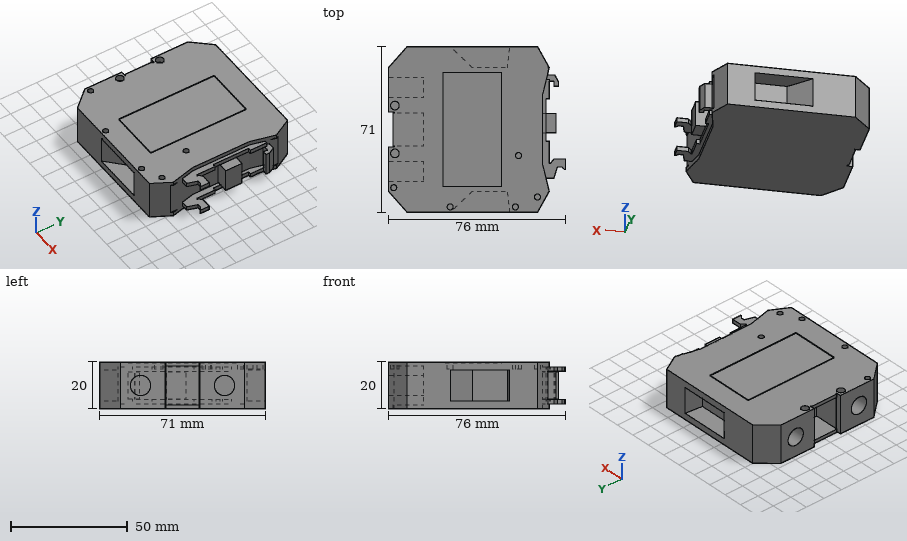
import cadquery as cq

HEIGHT = 20.0
HALF_WIDTH = 35.5
DEPTH = 69.0
CORNER_Y = 26.5
ENTRY_CHAMFER_X = 8.0
RAIL_CHAMFER_X = 64.0
DISH_X = 66.0
DISH_HALF_WIDTH = 14.5

GROOVE_X = 68.4

NOTCH_HALF_WIDTH = 7.45
NOTCH_DEPTH = 1.9
SLIT_WIDTH = 0.35
SLIT_END_X = 2.45
POCKET_END_X = 15.0
POCKET_WALL = 1.7

SCREW_BORE_DIAMETER = 8.7
SCREW_BORE_Y = 18.0
SCREW_BORE_DEPTH = 15.0

WINDOW_HEIGHT = 13.4
WINDOW_DEPTH = 9.0
WINDOW_MOUTH_START = 26.55
WINDOW_MOUTH_END = 52.0
WINDOW_FLOOR_START = 36.0
WINDOW_FLOOR_END = 51.0

LABEL_START_X = 23.5
LABEL_END_X = 48.4
LABEL_LENGTH = 49.0
LABEL_DEPTH = 0.4
BLIND_HOLE_DEPTH = 3.0
LARGE_HOLE_DIAMETER = 3.7
LARGE_HOLES = [(2.8, 10.25), (2.8, -10.25)]
SMALL_HOLE_DIAMETER = 2.6
SMALL_HOLES = [(2.3, -24.95), (26.5, -33.2), (54.45, -33.2), (63.9, -28.95), (55.8, -11.2)]

PLATE_THICKNESS = 2.0
PLATE_MARGIN = 2.0
FOOT_ROOT_X = 64.5
PLATE_FACE_X = 69.0
PLATE_STEP_X = 67.6
PLATE_TOP_Y = 21.5
PLATE_BOTTOM_Y = -20.95
STEP_TOP_Y = 13.1
STEP_BOTTOM_Y = -5.0
SEAT_BOTTOM_Y = -14.45
SEAT_BOTTOM_X = 69.5
FIXED_HOOK_TIP_X = 76.0
FIXED_HOOK_ROOT_X = 71.0
FIXED_HOOK_TOP_Y = -12.6
FIXED_HOOK_UNDERSIDE_Y = -16.1
FIXED_HOOK_UNDERSIDE_START = 72.5
FIXED_HOOK_UNDERSIDE_END = 74.4
FIXED_HOOK_LIP_X = 75.5
FIXED_HOOK_LIP_Y = -17.2
INNER_CLEARANCE = 0.15
SPRING_HOOK_TIP_X = 73.0
SPRING_HOOK_TIP_Y = 18.5
SPRING_HOOK_INNER_X = 71.0
SPRING_HOOK_TOP_Y = 23.35
SPRING_HOOK_UNDERSIDE_Y = 20.6
SPRING_HOOK_BEVEL_X = 71.4
SPRING_HOOK_BEVEL_Y = 20.35
BLOCK_FACE_X = 71.9
BLOCK_TOP_Y = 6.85
BLOCK_BOTTOM_Y = -1.5

INNER_BOTTOM = PLATE_MARGIN + PLATE_THICKNESS + INNER_CLEARANCE
INNER_HEIGHT = HEIGHT - 2 * INNER_BOTTOM
MID_HEIGHT = HEIGHT / 2


def prism(points, bottom, height):
    """Extrude a closed XY outline upward from Z = bottom."""
    return cq.Workplane("XY").workplane(offset=bottom).polyline(points).close().extrude(height)


def box(x_start, x_end, y_start, y_end, bottom, height):
    """Axis-aligned box given by its limits in X and Y and its span in Z."""
    corner = (x_start, y_start, bottom)
    return cq.Workplane("XY").box(x_end - x_start, y_end - y_start, height, centered=False).translate(corner)


def make_housing():
    upper_half = [
        (0, CORNER_Y),
        (ENTRY_CHAMFER_X, HALF_WIDTH),
        (RAIL_CHAMFER_X, HALF_WIDTH),
        (DEPTH, CORNER_Y),
        (DISH_X, DISH_HALF_WIDTH),
    ]
    lower_half = [(x, -y) for x, y in reversed(upper_half)]
    housing = prism(upper_half + lower_half, 0, HEIGHT)
    groove_height = HEIGHT - 2 * PLATE_MARGIN
    groove = box(GROOVE_X, DEPTH, -HALF_WIDTH, HALF_WIDTH, PLATE_MARGIN, groove_height)
    return housing.cut(groove)


def make_entry_notch():
    """Notch through the full height, deepened by corner slits and by the pocket between its walls."""
    notch = box(0, NOTCH_DEPTH, -NOTCH_HALF_WIDTH, NOTCH_HALF_WIDTH, 0, HEIGHT)
    pocket_half_width = NOTCH_HALF_WIDTH - SLIT_WIDTH
    for slit_y in (-NOTCH_HALF_WIDTH, pocket_half_width):
        notch = notch.union(box(0, SLIT_END_X, slit_y, slit_y + SLIT_WIDTH, 0, HEIGHT))
    pocket_height = HEIGHT - 2 * POCKET_WALL
    pocket = box(0, POCKET_END_X, -pocket_half_width, pocket_half_width, POCKET_WALL, pocket_height)
    return notch.union(pocket)


def make_screw_bores():
    return (
        cq.Workplane("YZ")
        .pushPoints([(-SCREW_BORE_Y, MID_HEIGHT), (SCREW_BORE_Y, MID_HEIGHT)])
        .circle(SCREW_BORE_DIAMETER / 2)
        .extrude(SCREW_BORE_DEPTH)
    )


def make_cable_window(side):
    """Tapered cable opening; side is -1 for the -Y wall and +1 for the +Y wall."""
    mouth_y = side * HALF_WIDTH
    floor_y = side * (HALF_WIDTH - WINDOW_DEPTH)
    outline = [
        (WINDOW_MOUTH_START, mouth_y),
        (WINDOW_MOUTH_END, mouth_y),
        (WINDOW_FLOOR_END, floor_y),
        (WINDOW_FLOOR_START, floor_y),
    ]
    return prism(outline, MID_HEIGHT - WINDOW_HEIGHT / 2, WINDOW_HEIGHT)


def make_label_recess():
    half_length = LABEL_LENGTH / 2
    return box(LABEL_START_X, LABEL_END_X, -half_length, half_length, HEIGHT - LABEL_DEPTH, LABEL_DEPTH)


def make_blind_holes(centres, diameter):
    top_plane = cq.Workplane("XY").workplane(offset=HEIGHT)
    return top_plane.pushPoints(centres).circle(diameter / 2).extrude(-BLIND_HOLE_DEPTH)


def make_foot_plate(bottom):
    """Side plate of the rail foot, ending in the fixed hook on the -Y side."""
    outline = [
        (FOOT_ROOT_X, PLATE_TOP_Y),
        (PLATE_FACE_X, PLATE_TOP_Y),
        (PLATE_FACE_X, STEP_TOP_Y),
        (PLATE_STEP_X, STEP_TOP_Y),
        (PLATE_STEP_X, STEP_BOTTOM_Y),
        (PLATE_FACE_X, STEP_BOTTOM_Y),
        (PLATE_FACE_X, SEAT_BOTTOM_Y),
        (SEAT_BOTTOM_X, SEAT_BOTTOM_Y),
        (FIXED_HOOK_ROOT_X, FIXED_HOOK_TOP_Y),
        (FIXED_HOOK_TIP_X, FIXED_HOOK_TOP_Y),
        (FIXED_HOOK_TIP_X, FIXED_HOOK_LIP_Y),
        (FIXED_HOOK_LIP_X, FIXED_HOOK_LIP_Y),
        (FIXED_HOOK_UNDERSIDE_END, FIXED_HOOK_UNDERSIDE_Y),
        (FIXED_HOOK_UNDERSIDE_START, FIXED_HOOK_UNDERSIDE_Y),
        (FIXED_HOOK_ROOT_X, PLATE_BOTTOM_Y),
        (FOOT_ROOT_X, PLATE_BOTTOM_Y),
    ]
    return prism(outline, bottom, PLATE_THICKNESS)


def make_spring_hook():
    """Hook on the +Y side, between the two plates."""
    outline = [
        (FOOT_ROOT_X, SPRING_HOOK_TOP_Y),
        (SPRING_HOOK_BEVEL_X, SPRING_HOOK_TOP_Y),
        (SPRING_HOOK_TIP_X, SPRING_HOOK_BEVEL_Y),
        (SPRING_HOOK_TIP_X, SPRING_HOOK_TIP_Y),
        (SPRING_HOOK_INNER_X, SPRING_HOOK_TIP_Y),
        (SPRING_HOOK_INNER_X, SPRING_HOOK_UNDERSIDE_Y),
        (FOOT_ROOT_X, SPRING_HOOK_UNDERSIDE_Y),
    ]
    return prism(outline, INNER_BOTTOM, INNER_HEIGHT)


def make_stop_block():
    return box(FOOT_ROOT_X, BLOCK_FACE_X, BLOCK_BOTTOM_Y, BLOCK_TOP_Y, INNER_BOTTOM, INNER_HEIGHT)


def make_part():
    part = make_housing()
    for plate_bottom in (PLATE_MARGIN, HEIGHT - PLATE_MARGIN - PLATE_THICKNESS):
        part = part.union(make_foot_plate(plate_bottom))
    part = part.union(make_spring_hook()).union(make_stop_block())

    part = part.cut(make_entry_notch()).cut(make_screw_bores())
    for side in (-1, 1):
        part = part.cut(make_cable_window(side))
    part = part.cut(make_label_recess())
    part = part.cut(make_blind_holes(LARGE_HOLES, LARGE_HOLE_DIAMETER))
    return part.cut(make_blind_holes(SMALL_HOLES, SMALL_HOLE_DIAMETER))


result = make_part()